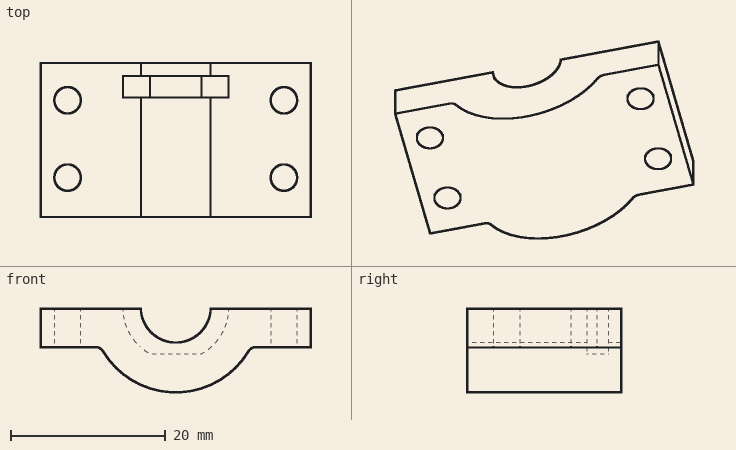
import cadquery as cq
import math

length = 35.0
width = 20.0
plate_thickness = 5.0

overall_height = 10.85
axis_height = 0.15
bore_radius = 4.5
shell_radius = overall_height + axis_height
shell_fillet = 1.0

pocket_radius = 6.85
floor_below_axis = 6.0
pocket_width = 2.8
pocket_back_wall = 1.68

hole_diameter = 3.4
hole_spacing_x = 28.0
hole_spacing_y = 10.0
hole_offset_y = 0.15

back = width / 2


def rod(radius, y_back, y_length):
    """Cylinder on the bore axis, running from y_back towards -Y."""
    return cq.Workplane("XZ", origin=(0, y_back, axis_height)).circle(radius).extrude(y_length)


def make_body():
    """Flat plate blended into the round shell below it; the top face is at Z = 0."""
    fillet_z = -plate_thickness - shell_fillet
    fillet_x = math.sqrt((shell_radius + shell_fillet) ** 2 - (axis_height - fillet_z) ** 2)
    contact = shell_radius / (shell_radius + shell_fillet)
    contact_x = fillet_x * contact
    contact_z = axis_height + (fillet_z - axis_height) * contact

    start_angle = math.pi / 2
    end_angle = math.atan2(contact_z - fillet_z, contact_x - fillet_x)
    middle_angle = (start_angle + end_angle) / 2
    middle_x = fillet_x + shell_fillet * math.cos(middle_angle)
    middle_z = fillet_z + shell_fillet * math.sin(middle_angle)

    return (
        cq.Workplane("XZ", origin=(0, back, 0))
        .moveTo(-length / 2, 0)
        .lineTo(length / 2, 0)
        .lineTo(length / 2, -plate_thickness)
        .lineTo(fillet_x, -plate_thickness)
        .threePointArc((middle_x, middle_z), (contact_x, contact_z))
        .threePointArc((0, -overall_height), (-contact_x, contact_z))
        .threePointArc((-middle_x, middle_z), (-fillet_x, -plate_thickness))
        .lineTo(-length / 2, -plate_thickness)
        .close()
        .extrude(width)
    )


def make_pocket():
    """Round pocket with everything below its flat floor removed."""
    pocket_back = back - pocket_back_wall
    above_floor = cq.Workplane("XY", origin=(0, 0, axis_height - floor_below_axis)).box(
        2 * pocket_radius, width, 2 * pocket_radius, centered=(True, True, False)
    )
    return rod(pocket_radius, pocket_back, pocket_width).intersect(above_floor)


def make_holes():
    """Four through holes in a rectangle."""
    return (
        cq.Workplane("XY", origin=(0, hole_offset_y, 0))
        .rarray(hole_spacing_x, hole_spacing_y, 2, 2)
        .circle(hole_diameter / 2)
        .extrude(-plate_thickness)
    )


bore = rod(bore_radius, back, width)
result = make_body().cut(bore).cut(make_pocket()).cut(make_holes())